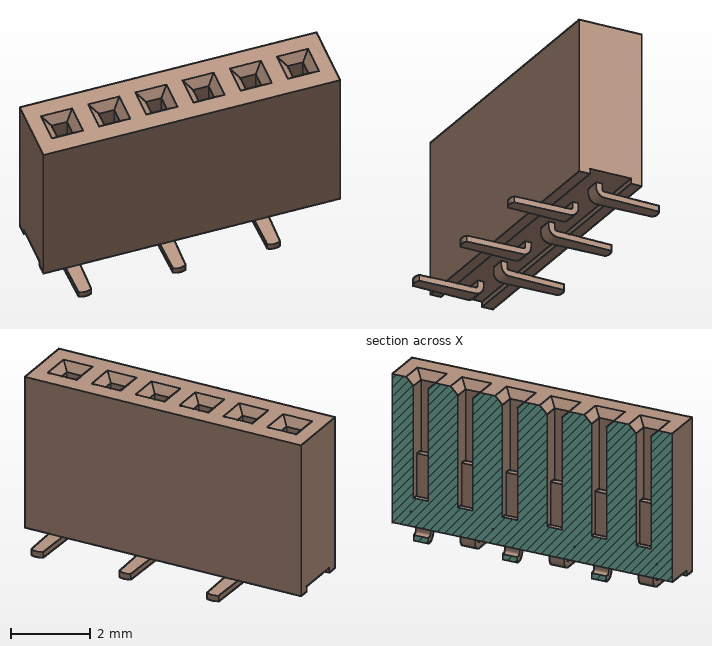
import cadquery as cq

housing_width = 1.8
housing_length = 7.97
total_height = 4.53
housing_bottom = 0.24

channel_width = 1.18
channel_depth = 0.14

contact_count = 6
pitch = 1.27

funnel_width = 0.84
well_width = 0.415
funnel_depth = (funnel_width - well_width) / 2
well_floor = 1.195

metal_thickness = 0.17
blade_width = 0.35
blade_top = 2.39

lead_span = 3.58
lead_reach = lead_span / 2
root_width = 0.42
tip_width = 0.34
tip_bulge = 0.05
bend_outer_radius = 0.24
bend_inner_radius = bend_outer_radius - metal_thickness

channel_top = housing_bottom + channel_depth
bend_center_x = bend_outer_radius - metal_thickness / 2
anchor_depth = 0.08


def box(width, length, bottom, top):
    """Block centred on the Z axis between two heights."""
    return cq.Workplane("XY").workplane(offset=bottom).rect(width, length).extrude(top - bottom)


def make_housing():
    block = box(housing_width, housing_length, housing_bottom, total_height)
    channel = box(channel_width, housing_length, housing_bottom, channel_top)
    return block.cut(channel)


def make_socket():
    """Space removed for one contact: funnel plus well."""
    funnel = (
        cq.Workplane("XY")
        .workplane(offset=total_height - funnel_depth)
        .rect(well_width, well_width)
        .workplane(offset=funnel_depth)
        .rect(funnel_width, funnel_width)
        .loft(ruled=True)
    )
    return funnel.union(box(well_width, well_width, well_floor, total_height - funnel_depth))


def make_lead():
    """Lead that drops from the housing and bends out towards +X."""
    half_thickness = metal_thickness / 2
    stem_top = channel_top + anchor_depth
    bent_strip = (
        cq.Workplane("XZ")
        .moveTo(-half_thickness, stem_top)
        .lineTo(-half_thickness, bend_outer_radius)
        .radiusArc((bend_center_x, 0), -bend_outer_radius)
        .lineTo(lead_reach, 0)
        .lineTo(lead_reach, metal_thickness)
        .lineTo(bend_center_x, metal_thickness)
        .radiusArc((half_thickness, bend_outer_radius), bend_inner_radius)
        .lineTo(half_thickness, stem_top)
        .close()
        .extrude(root_width / 2, both=True)
    )
    tip_corner_x = lead_reach - tip_bulge
    plan_outline = (
        cq.Workplane("XY")
        .moveTo(-half_thickness, -root_width / 2)
        .lineTo(bend_center_x, -root_width / 2)
        .lineTo(tip_corner_x, -tip_width / 2)
        .threePointArc((lead_reach, 0), (tip_corner_x, tip_width / 2))
        .lineTo(bend_center_x, root_width / 2)
        .lineTo(-half_thickness, root_width / 2)
        .close()
        .extrude(stem_top)
    )
    return bent_strip.intersect(plan_outline)


socket = make_socket()
blade = box(metal_thickness, blade_width, well_floor - anchor_depth, blade_top)
right_lead = make_lead()
left_lead = right_lead.rotate((0, 0, 0), (0, 0, 1), 180)

result = make_housing()
for index in range(contact_count):
    y = (index - (contact_count - 1) / 2) * pitch
    lead = right_lead if index % 2 == 0 else left_lead
    result = result.cut(socket.translate((0, y, 0)))
    result = result.union(blade.translate((0, y, 0)))
    result = result.union(lead.translate((0, y, 0)))